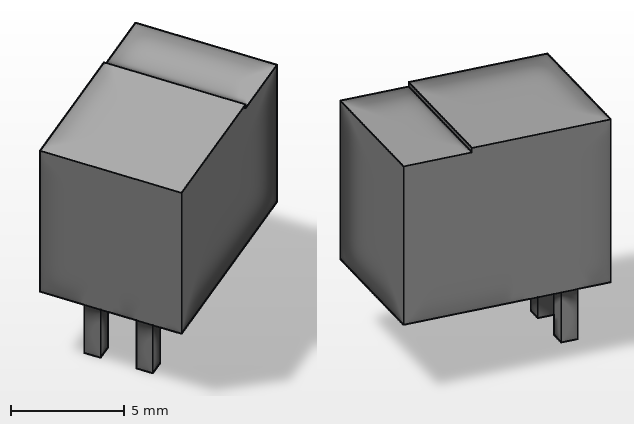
import cadquery as cq

body_width = 6.88
body_depth = 10.0
body_height = 8.1

step_length = 3.3
step_drop = 0.22

pin_side = 0.8
pin_length = 3.5
pin_pitch = 2.54
pin_count = 2
pin_setback = 1.2


def make_housing():
    """Block centred on X and Y, standing on Z = 0, with the rear of its top lowered."""
    front = -body_depth / 2
    rear = body_depth / 2
    step_y = rear - step_length
    profile = [
        (front, 0),
        (rear, 0),
        (rear, body_height - step_drop),
        (step_y, body_height - step_drop),
        (step_y, body_height),
        (front, body_height),
    ]
    return cq.Workplane("YZ").polyline(profile).close().extrude(body_width / 2, both=True)


def make_pins():
    """Row of square pins hanging from the underside near the front face."""
    return (
        cq.Workplane("XY")
        .center(0, -body_depth / 2 + pin_setback)
        .rarray(pin_pitch, 1, pin_count, 1)
        .rect(pin_side, pin_side)
        .extrude(-pin_length)
    )


result = make_housing().union(make_pins())